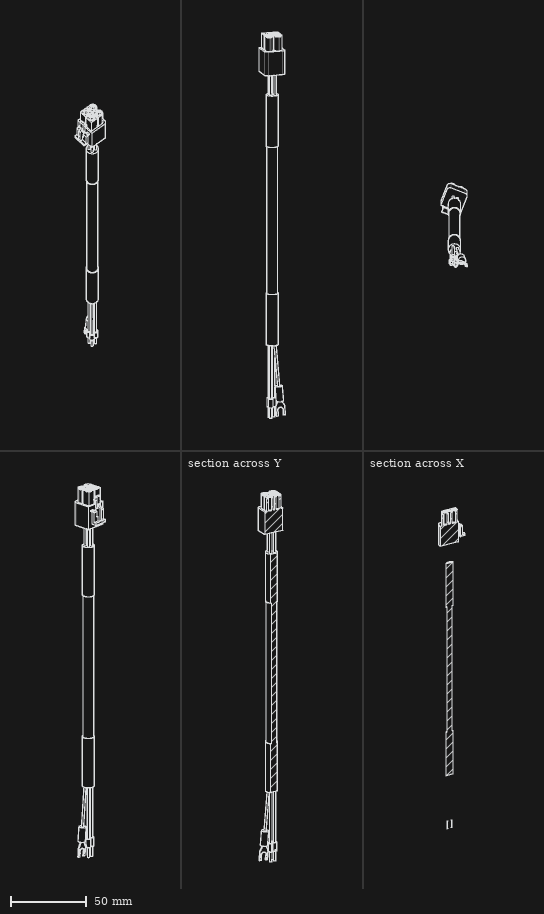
import cadquery as cq


CABLE_DIA = 7.3
SLEEVE_DIA = 8.0
SLEEVE_LENGTH = 35.0
CABLE_BOTTOM = 50.0
CABLE_TOP = 220.5

WIRE_DIA = 1.6
WIRE_OFFSET = 1.52
FERRULE_DIA = 3.1
FERRULE_BOTTOM = 7.3
FERRULE_LENGTH = 6.0

TILT_DEG = 5.0
BARREL_DIA = 5.0
BARREL_BOTTOM = 11.2
BARREL_LENGTH = 10.2
FORK_BOTTOM = 1.0
FORK_HALF_WIDTH = 3.1
FORK_NECK_HALF_WIDTH = 1.3
FORK_SHOULDER_Z = 7.5
FORK_SLOT_DIA = 4.0
FORK_MOUTH_WIDTH = 3.5
FORK_SLOT_CENTRE_Z = 4.7
FORK_THICKNESS = 0.8
FORK_BACK_Y = 1.3

BODY_WIDTH = 14.0
BODY_BACK_Y = 6.8
BODY_FRONT_Y = -6.5
BODY_BOTTOM = 235.5
BODY_TOP = 251.7
BODY_CORNER_RADIUS = 2.0

HEAD_TOP = 261.5
HEAD_WIDTH = 11.2
TOWER_GAP = 0.8
TOWER_CORNER_RADIUS = 2.4
CAVITY_DIA = 4.0
CAVITY_DEPTH = 0.8
CONTACT_BORE_DIA = 2.0

LATCH_BACK_Y = -7.8
LATCH_FACE_Y = -9.5
LATCH_FRONT_Y = -11.2
LATCH_BOTTOM = 239.0
PADDLE_HALF_WIDTH = 4.7
PADDLE_TOP = 248.5
PADDLE_FACE_TOP = 247.5
LIP_HEIGHT = 1.5
LEVER_HALF_WIDTH = 1.5
LEVER_TOP = 258.0
SLIT_BOTTOM = 243.8
SLIT_TOP = 249.5
RIB_HALF_WIDTH = 0.8
RIB_TOP = 250.0
RIB_RAMP_TOP = 252.7
HOOK_TIP_Y = -6.0
HOOK_BOTTOM = 254.8
HOOK_TOP = 257.0
HINGE_INNER_X = 2.5
HINGE_BOTTOM = 247.7
HINGE_TOP = 248.5


def box(x0, x1, y0, y1, z0, z1):
    return cq.Workplane("XY").box(x1 - x0, y1 - y0, z1 - z0, centered=False).translate((x0, y0, z0))


def cylinder(dia, z0, z1, x=0.0, y=0.0):
    return cq.Workplane("XY").center(x, y).circle(dia / 2).extrude(z1 - z0).translate((0, 0, z0))


def side_profile(points, half_width):
    """Extrude a closed outline of (y, z) points evenly to both sides of X = 0."""
    return cq.Workplane("YZ").polyline(points).close().extrude(half_width, both=True)


def make_cable():
    cable = cylinder(CABLE_DIA, CABLE_BOTTOM, CABLE_TOP)
    for z0 in (CABLE_BOTTOM, CABLE_TOP - SLEEVE_LENGTH):
        cable = cable.union(cylinder(SLEEVE_DIA, z0, z0 + SLEEVE_LENGTH))
    return cable


def make_wires():
    wires = cq.Workplane("XY")
    for x in (-WIRE_OFFSET, WIRE_OFFSET):
        for y in (-WIRE_OFFSET, WIRE_OFFSET):
            wires = wires.union(cylinder(WIRE_DIA, CABLE_TOP, BODY_BOTTOM, x, y))
    for x, y in ((-WIRE_OFFSET, -WIRE_OFFSET), (WIRE_OFFSET, -WIRE_OFFSET), (WIRE_OFFSET, WIRE_OFFSET)):
        wires = wires.union(cylinder(WIRE_DIA, 0, CABLE_BOTTOM, x, y))
        wires = wires.union(cylinder(FERRULE_DIA, FERRULE_BOTTOM, FERRULE_BOTTOM + FERRULE_LENGTH, x, y))
    return wires


def make_fork_terminal():
    """Wire, crimp barrel and forked tongue, leaning outwards towards -X."""
    barrel_top = BARREL_BOTTOM + BARREL_LENGTH
    wire = cylinder(WIRE_DIA, BARREL_BOTTOM, CABLE_BOTTOM + WIRE_DIA)
    barrel = cylinder(BARREL_DIA, BARREL_BOTTOM, barrel_top)
    half_outline = [
        (FORK_HALF_WIDTH, FORK_BOTTOM),
        (FORK_HALF_WIDTH, FORK_SHOULDER_Z),
        (FORK_NECK_HALF_WIDTH, BARREL_BOTTOM),
        (FORK_NECK_HALF_WIDTH, barrel_top),
    ]
    outline = half_outline + [(-x, z) for x, z in reversed(half_outline)]
    fork = cq.Workplane("XZ").polyline(outline).close().extrude(FORK_THICKNESS)
    slot = cq.Workplane("XZ").center(0, FORK_SLOT_CENTRE_Z).circle(FORK_SLOT_DIA / 2).extrude(FORK_THICKNESS)
    mouth = box(-FORK_MOUTH_WIDTH / 2, FORK_MOUTH_WIDTH / 2, -FORK_THICKNESS, 0, 0, FORK_SLOT_CENTRE_Z)
    fork = fork.cut(slot).cut(mouth).translate((0, FORK_BACK_Y - WIRE_OFFSET, 0))
    terminal = wire.union(barrel).union(fork)
    terminal = terminal.rotate((0, 0, CABLE_BOTTOM), (0, 1, CABLE_BOTTOM), TILT_DEG)
    return terminal.translate((-WIRE_OFFSET, WIRE_OFFSET, 0))


def make_tower(x_side, y_side):
    """One head tower with a stepped round contact hole; back towers have rounded back corners."""
    size = (HEAD_WIDTH - TOWER_GAP) / 2
    centre = (size + TOWER_GAP) / 2
    x, y = x_side * centre, y_side * centre
    height = HEAD_TOP - BODY_TOP
    tower = cq.Workplane("XY").box(size, size, height, centered=(True, True, False))
    if y_side > 0:
        tower = tower.edges("|Z and >Y").fillet(TOWER_CORNER_RADIUS)
    tower = tower.translate((x, y, BODY_TOP))
    tower = tower.cut(cylinder(CONTACT_BORE_DIA, BODY_TOP, HEAD_TOP, x, y))
    return tower.cut(cylinder(CAVITY_DIA, HEAD_TOP - CAVITY_DEPTH, HEAD_TOP, x, y))


def make_plug():
    half_width = BODY_WIDTH / 2
    plug = box(-half_width, half_width, BODY_FRONT_Y, BODY_BACK_Y, BODY_BOTTOM, BODY_TOP)
    plug = plug.edges("|Z and >Y").fillet(BODY_CORNER_RADIUS)
    for x_side in (-1, 1):
        for y_side in (-1, 1):
            plug = plug.union(make_tower(x_side, y_side))
    return plug


def make_latch():
    """Rocking latch: lever with hook on top, finger paddle below, joined to the body on both sides.

    A slit on each side of the central rib frees the lever from the paddle.
    """
    w = PADDLE_HALF_WIDTH
    latch = side_profile(
        [
            (LATCH_BACK_Y, LATCH_BOTTOM),
            (LATCH_FACE_Y, LATCH_BOTTOM),
            (LATCH_FACE_Y, PADDLE_FACE_TOP),
            (LATCH_BACK_Y, PADDLE_TOP),
        ],
        w,
    )
    latch = latch.union(box(-w, w, LATCH_FRONT_Y, LATCH_BACK_Y, LATCH_BOTTOM, LATCH_BOTTOM + LIP_HEIGHT))
    lever = side_profile(
        [
            (LATCH_BACK_Y, LATCH_BOTTOM),
            (LATCH_FACE_Y, LATCH_BOTTOM),
            (LATCH_FACE_Y, LEVER_TOP),
            (LATCH_BACK_Y, LEVER_TOP),
            (LATCH_BACK_Y, HOOK_TOP),
            (HOOK_TIP_Y, HOOK_BOTTOM),
            (LATCH_BACK_Y, HOOK_BOTTOM),
        ],
        LEVER_HALF_WIDTH,
    )
    latch = latch.union(lever)
    rib = side_profile(
        [
            (LATCH_FACE_Y, LATCH_BOTTOM),
            (LATCH_FRONT_Y, LATCH_BOTTOM),
            (LATCH_FRONT_Y, RIB_TOP),
            (LATCH_FACE_Y, RIB_RAMP_TOP),
        ],
        RIB_HALF_WIDTH,
    )
    latch = latch.union(rib)
    for x0 in (-LEVER_HALF_WIDTH, RIB_HALF_WIDTH):
        x1 = x0 + LEVER_HALF_WIDTH - RIB_HALF_WIDTH
        latch = latch.cut(box(x0, x1, LATCH_FACE_Y, LATCH_BACK_Y, SLIT_BOTTOM, SLIT_TOP))
    for x0 in (-w, HINGE_INNER_X):
        x1 = x0 + w - HINGE_INNER_X
        latch = latch.union(box(x0, x1, LATCH_BACK_Y, BODY_FRONT_Y, HINGE_BOTTOM, HINGE_TOP))
    return latch


result = make_cable().union(make_wires()).union(make_fork_terminal()).union(make_plug()).union(make_latch())